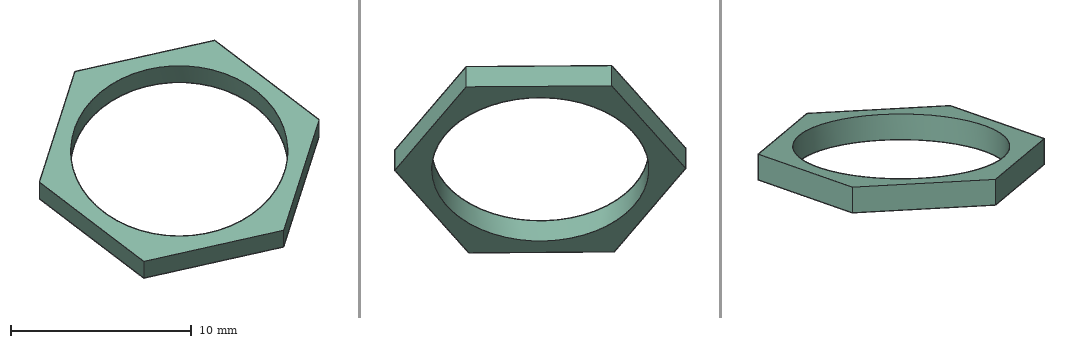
import cadquery as cq

across_corners = 16.09
thickness = 1.5
bore_diameter = 12.0

hexagon = cq.Workplane("XY").polygon(6, across_corners).extrude(thickness / 2, both=True)

result = hexagon.faces(">Z").workplane().hole(bore_diameter)